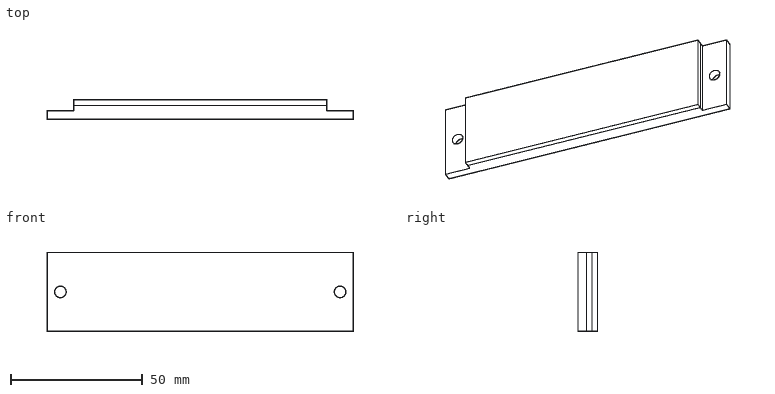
import cadquery as cq

PANEL_LENGTH = 116.0
HEIGHT = 30.0
PLATE_THICKNESS = 3.3

END_MARGIN = 10.0
PAD_LENGTH = PANEL_LENGTH - 2 * END_MARGIN
TOTAL_DEPTH = 7.5
STRIP_THICKNESS = 2.2
PAD_BACK = TOTAL_DEPTH - STRIP_THICKNESS

HOLE_DIAMETER = 4.3
HOLE_SPACING = PANEL_LENGTH - END_MARGIN


def slab(length, front, back):
    """Block of full height, centred on X and Z, lying between two Y positions."""
    return cq.Workplane("XY").box(length, back - front, HEIGHT).translate((0, (front + back) / 2, 0))


def screw_holes():
    """Round cutters through the plate, along Y."""
    return (
        cq.Workplane("XZ")
        .pushPoints([(-HOLE_SPACING / 2, 0), (HOLE_SPACING / 2, 0)])
        .circle(HOLE_DIAMETER / 2)
        .extrude(-PLATE_THICKNESS)
    )


def make_panel():
    """Plate and pad in one piece, with the two screw holes."""
    plate = slab(PANEL_LENGTH, 0, PLATE_THICKNESS)
    pad = slab(PAD_LENGTH, PLATE_THICKNESS, PAD_BACK)
    return plate.union(pad).cut(screw_holes())


def make_backing_strip():
    """Flat strip lying against the back of the pad."""
    return slab(PAD_LENGTH, PAD_BACK, TOTAL_DEPTH)


panel = make_panel()
backing_strip = make_backing_strip()

result = cq.Compound.makeCompound([panel.val(), backing_strip.val()])